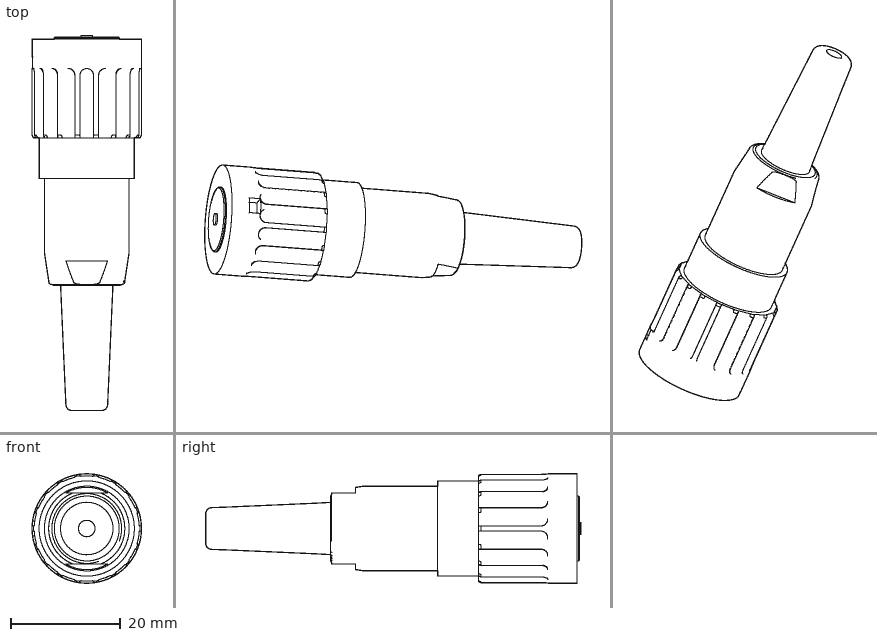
import cadquery as cq
import math

LENGTH = 68.45

KNOB_DIA = 20.0
KNOB_START = 49.75
KNOB_END = 67.75
KNOB_CHAMFER_RADIAL = 0.3
KNOB_CHAMFER_AXIAL = 0.5

DISC_DIA = 11.9
DISC_END = 68.2
DISC_CHAMFER = 0.2
CENTRE_DISC_DIA = 2.1

COLLAR_DIA = 17.4
COLLAR_START = 42.3
BODY_DIA = 15.5
BODY_START = 28.75
NOSE_DIA = 13.9
NOSE_START = 23.6
NOSE_ROUND_DIA = 12.7
NOSE_ROUND_END = 23.0
NOSE_FACE_DIA = 11.85
NOSE_FACE = 22.8

SLEEVE_BASE_DIA = 9.6
SLEEVE_TIP_DIA = 7.7
SLEEVE_TIP_ROUND = 1.15
BORE_DIA = 3.0
BORE_DEPTH = 6.85

FLAT_SPACING = 13.0
FLAT_END = 27.3

FLUTE_COUNT = 18
FLUTE_END = 62.55
FLUTE_DEPTH = 0.4
FLUTE_WIDTH = 2.45
FLUTE_ROUND = 0.17

KEYHOLE_LENGTH = 2.1
KEYHOLE_WIDTH = 2.8
KEYHOLE_END = 64.5
KEYHOLE_DEPTH = 2.75


def make_core():
    """Sleeve, nose, body, collar and end discs, turned about the Y axis."""
    tip_radius = SLEEVE_TIP_DIA / 2
    arc_inset = SLEEVE_TIP_ROUND * (1 - math.sqrt(0.5))
    nose_bulge = 0.15
    round_mid = (
        (NOSE_DIA + NOSE_ROUND_DIA) / 4 + nose_bulge,
        (NOSE_START + NOSE_ROUND_END) / 2 - nose_bulge,
    )
    profile = (
        cq.Workplane("XY")
        .moveTo(0, 0)
        .lineTo(tip_radius - SLEEVE_TIP_ROUND, 0)
        .threePointArc((tip_radius - arc_inset, arc_inset), (tip_radius, SLEEVE_TIP_ROUND))
        .lineTo(SLEEVE_BASE_DIA / 2, NOSE_FACE)
        .lineTo(NOSE_FACE_DIA / 2, NOSE_FACE)
        .lineTo(NOSE_ROUND_DIA / 2, NOSE_ROUND_END)
        .threePointArc(round_mid, (NOSE_DIA / 2, NOSE_START))
        .lineTo(BODY_DIA / 2, BODY_START)
        .lineTo(BODY_DIA / 2, COLLAR_START)
        .lineTo(COLLAR_DIA / 2, COLLAR_START)
        .lineTo(COLLAR_DIA / 2, KNOB_END)
        .lineTo(DISC_DIA / 2, KNOB_END)
        .lineTo(DISC_DIA / 2, DISC_END - DISC_CHAMFER)
        .lineTo(DISC_DIA / 2 - DISC_CHAMFER, DISC_END)
        .lineTo(CENTRE_DISC_DIA / 2, DISC_END)
        .lineTo(CENTRE_DISC_DIA / 2, LENGTH)
        .lineTo(0, LENGTH)
        .close()
    )
    return profile.revolve(360, (0, 0, 0), (0, 1, 0))


def make_bore():
    """Blind cable hole in the sleeve tip."""
    return cq.Workplane("XZ").circle(BORE_DIA / 2).extrude(-BORE_DEPTH)


def make_flat(side):
    """Block that leaves a wrench flat on the +Z (side = 1) or -Z (side = -1) face."""
    block_height = BODY_DIA / 2
    return (
        cq.Workplane("XY")
        .box(BODY_DIA, FLAT_END - NOSE_FACE, block_height)
        .translate((0, (FLAT_END + NOSE_FACE) / 2, side * (FLAT_SPACING + block_height) / 2))
    )


def make_flute():
    """Round-ended flute with a curved floor, cut into the +Z side of the knob."""
    half_width = FLUTE_WIDTH / 2
    arc_top = FLUTE_END - FLUTE_ROUND
    outline = (
        cq.Workplane("XY")
        .moveTo(-half_width, KNOB_START)
        .lineTo(half_width, KNOB_START)
        .lineTo(half_width, arc_top - half_width)
        .threePointArc((0, arc_top), (-half_width, arc_top - half_width))
        .close()
        .extrude(KNOB_DIA)
    )
    below_floor = cq.Workplane("XZ").circle(KNOB_DIA / 2 - FLUTE_DEPTH).extrude(-LENGTH)
    return outline.cut(below_floor)


def is_flute_edge(edge):
    """True for the long and arched edges along the mouth and floor of a flute."""
    box = edge.BoundingBox()
    below_plain_band = box.ymax < (FLUTE_END + KNOB_END) / 2
    return below_plain_band and box.ylen > FLUTE_DEPTH


def make_knob_chamfer():
    """Ring that chamfers the rim of the knob facing the collar."""
    rim_radius = KNOB_DIA / 2
    return (
        cq.Workplane("XY")
        .moveTo(rim_radius - KNOB_CHAMFER_RADIAL, KNOB_START)
        .lineTo(rim_radius, KNOB_START + KNOB_CHAMFER_AXIAL)
        .lineTo(rim_radius + KNOB_CHAMFER_RADIAL, KNOB_START + KNOB_CHAMFER_AXIAL)
        .lineTo(rim_radius + KNOB_CHAMFER_RADIAL, KNOB_START)
        .close()
        .revolve(360, (0, 0, 0), (0, 1, 0))
    )


def make_keyhole():
    """Rectangular blind hole entering the knob from -X."""
    return (
        cq.Workplane("XY")
        .box(KEYHOLE_DEPTH, KEYHOLE_LENGTH, KEYHOLE_WIDTH)
        .translate(((KEYHOLE_DEPTH - KNOB_DIA) / 2, KEYHOLE_END - KEYHOLE_LENGTH / 2, 0))
    )


def make_knob():
    """Knob with rounded grip flutes and a chamfered rim."""
    knob = (
        cq.Workplane("XZ", origin=(0, KNOB_START, 0))
        .circle(KNOB_DIA / 2)
        .extrude(KNOB_START - KNOB_END)
    )
    flute = make_flute()
    for index in range(FLUTE_COUNT):
        angle = index * 360 / FLUTE_COUNT
        knob = knob.cut(flute.rotate((0, 0, 0), (0, 1, 0), angle))
    flute_edges = [edge for edge in knob.edges().vals() if is_flute_edge(edge)]
    knob = knob.newObject(flute_edges).fillet(FLUTE_ROUND)
    return knob.cut(make_knob_chamfer())


result = make_core().union(make_knob())
result = result.cut(make_keyhole()).cut(make_bore())
for side in (1, -1):
    result = result.cut(make_flat(side))